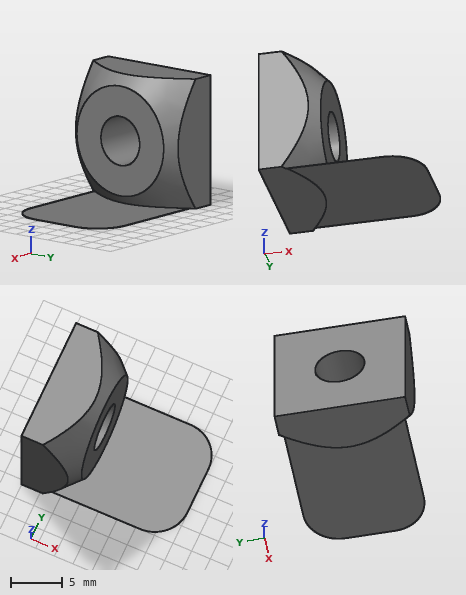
import cadquery as cq

total_length = 16
nut_side = 13.0
nut_thickness = 6.0
hole_diameter = 4.91

chamfer_inset = 1.0
cone_end_radius = nut_side / 2 - chamfer_inset
cone_base_radius = cone_end_radius + nut_thickness

tongue_width = 12
tongue_thickness = 0.05
tongue_corner_radius = 3.5


def make_nut():
    """Square block along X, trimmed by a cone around the hole axis."""
    block = cq.Workplane("YZ").rect(nut_side, nut_side).extrude(nut_thickness)
    cone = cq.Workplane(
        cq.Solid.makeCone(
            cone_base_radius,
            cone_end_radius,
            nut_thickness,
            pnt=cq.Vector(0, 0, 0),
            dir=cq.Vector(1, 0, 0),
        )
    )
    return block.intersect(cone)


def make_tongue():
    """Sheet starting inside the nut, with its two free corners rounded."""
    return (
        cq.Workplane("XY", origin=(0, 0, -nut_side / 2))
        .rect(total_length, tongue_width)
        .extrude(tongue_thickness)
        .translate((total_length / 2, 0, 0))
        .edges("|Z and >X")
        .fillet(tongue_corner_radius)
    )


hole = cq.Workplane("YZ").circle(hole_diameter / 2).extrude(nut_thickness)

result = make_nut().union(make_tongue()).cut(hole)